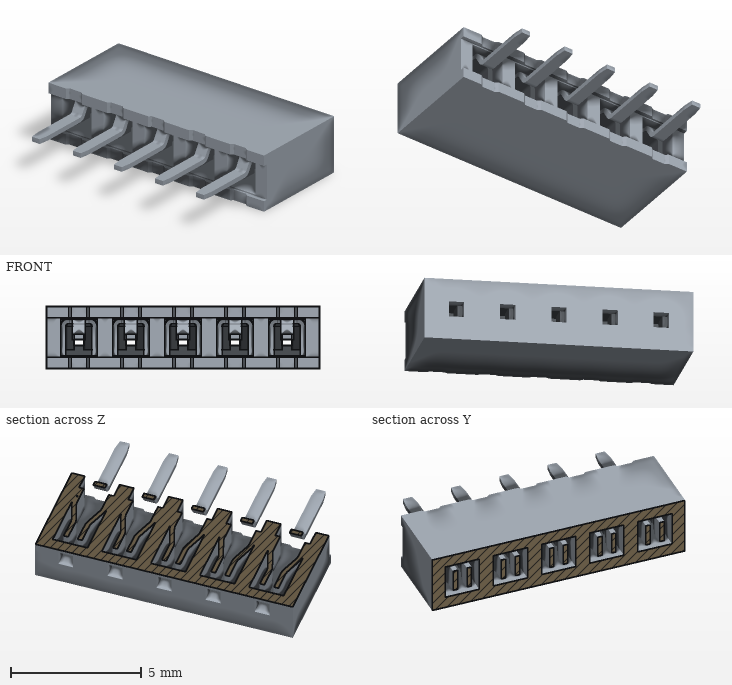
import cadquery as cq
import math


pin_count = 5
pitch = 2.0
housing_length = 10.5
housing_depth = 4.4
housing_height = 2.4
recess_depth = 0.18
recess_height = 1.5
back_wall = 0.5

notch_depth = 0.1
notch_mouth_width = 0.8
notch_floor_width = 0.58

cavity_size = 1.4
mating_hole_size = 0.6

metal = 0.2
contact_width = cavity_size
contact_top = 0.73
contact_bottom = -cavity_size / 2
bend_inner_radius = 0.1
bend_outer_radius = bend_inner_radius + metal
channel_front = 0.85
channel_length = 0.8
leaf_top = 0.435
leaf_bottom = -0.48
leaf_tip_gap = 0.37
leaf_end = 3.6
leaf_slope = math.radians(19)
leaf_root_bend_radius = 0.7
leaf_tip_bend_radius = 0.5

pin_width = 0.5
pin_top = 0.12
pin_reach = 2.4
tip_width = 0.38
tip_length = 0.43
tail_root_fillet = 0.12
tail_slope = math.radians(60)
upper_bend_radius = 0.4
lower_bend_radius = 0.14

pin_positions = [(i - (pin_count - 1) / 2) * pitch for i in range(pin_count)]
cavity_end = housing_depth - back_wall
channel_end = channel_front + channel_length


def box(x_range, y_range, z_range):
    """Box between the given limits on each axis."""
    size = [high - low for low, high in (x_range, y_range, z_range)]
    corner = (x_range[0], y_range[0], z_range[0])
    return cq.Workplane("XY").box(*size, centered=False).translate(corner)


def centred_box(width, y_range, height):
    """Box centred on the Y axis."""
    return box((-width / 2, width / 2), y_range, (-height / 2, height / 2))


def make_housing_blank():
    """Block with a shallow recess running along the whole pin side."""
    block = centred_box(housing_length, (0, housing_depth), housing_height)
    return block.cut(centred_box(housing_length, (0, recess_depth), recess_height))


def make_station_cut():
    """Material removed at each pin: rim notch, contact cavity and mating hole."""
    half_mouth = notch_mouth_width / 2
    half_floor = notch_floor_width / 2
    notch = (
        cq.Workplane("XY")
        .polyline(
            [(half_mouth, 0), (half_floor, notch_depth), (-half_floor, notch_depth), (-half_mouth, 0)]
        )
        .close()
        .extrude(housing_height / 2, both=True)
    )
    cavity = centred_box(cavity_size, (0, cavity_end), cavity_size)
    mating_hole = centred_box(mating_hole_size, (cavity_end, housing_depth), mating_hole_size)
    return notch.union(cavity).union(mating_hole)


def make_channel():
    """Channel open downward, with rounded bends along its two upper edges."""
    y_range = (channel_front, channel_end)
    half = contact_width / 2
    outer = box((-half, half), y_range, (contact_bottom, contact_top))
    outer = outer.edges("|Y and >Z").fillet(bend_outer_radius)
    inner_half = half - metal
    inner = box((-inner_half, inner_half), y_range, (contact_bottom, contact_top - metal))
    inner = inner.edges("|Y and >Z").fillet(bend_inner_radius)
    return outer.cut(inner)


def bent_strip(
    plane, place, start, bend_start, end, first_level, last_level, slope, first_radius, last_radius
):
    """Outline of a strip that steps down from one level to another through two bends.

    The strip runs along u, its upper face at height v: first_level, then last_level.
    first_radius and last_radius are the bend radii of that face, and place(u, v)
    gives the matching point on the plane.
    """
    sin_slope = math.sin(slope)
    cos_slope = math.cos(slope)
    sin_half = math.sin(slope / 2)
    cos_half = math.cos(slope / 2)
    radii = first_radius + last_radius
    drop = first_level - last_level
    slope_length = (drop - radii * (1 - cos_slope)) / sin_slope
    bend_end = bend_start + radii * sin_slope + slope_length * cos_slope
    first_lower_radius = first_radius - metal
    last_lower_radius = last_radius + metal

    def first(radius, sine, cosine):
        return place(bend_start + radius * sine, first_level - first_radius + radius * cosine)

    def last(radius, sine, cosine):
        return place(bend_end - radius * sine, last_level + last_radius - radius * cosine)

    return (
        cq.Workplane(plane)
        .moveTo(*place(start, first_level))
        .lineTo(*first(first_radius, 0, 1))
        .threePointArc(first(first_radius, sin_half, cos_half), first(first_radius, sin_slope, cos_slope))
        .lineTo(*last(last_radius, sin_slope, cos_slope))
        .threePointArc(last(last_radius, sin_half, cos_half), last(last_radius, 0, 1))
        .lineTo(*place(end, last_level))
        .lineTo(*place(end, last_level - metal))
        .lineTo(*last(last_lower_radius, 0, 1))
        .threePointArc(
            last(last_lower_radius, sin_half, cos_half),
            last(last_lower_radius, sin_slope, cos_slope),
        )
        .lineTo(*first(first_lower_radius, sin_slope, cos_slope))
        .threePointArc(first(first_lower_radius, sin_half, cos_half), first(first_lower_radius, 0, 1))
        .lineTo(*place(start, first_level - metal))
        .close()
    )


def make_leaves():
    """Two spring leaves that close in on each other toward the mating hole."""
    outline = bent_strip(
        "XY",
        lambda u, v: (v, u),
        start=channel_front,
        bend_start=channel_end,
        end=leaf_end,
        first_level=contact_width / 2,
        last_level=leaf_tip_gap / 2 + metal,
        slope=leaf_slope,
        first_radius=leaf_root_bend_radius,
        last_radius=leaf_tip_bend_radius,
    )
    right = outline.extrude(leaf_top - leaf_bottom).translate((0, 0, leaf_bottom))
    return right.union(right.mirror("YZ"))


def make_tail_plan():
    """Tail seen from above: tapered tip, straight pin and root flared by fillets."""
    half_pin = pin_width / 2
    half_tip = tip_width / 2
    half_root = half_pin + tail_root_fillet
    fillet_start = channel_front - tail_root_fillet
    arc_middle = tail_root_fillet * (1 - math.sqrt(0.5))
    taper_end = -pin_reach + tip_length
    return (
        cq.Workplane("XY")
        .workplane(offset=-housing_height / 2)
        .moveTo(half_tip, -pin_reach)
        .lineTo(half_pin, taper_end)
        .lineTo(half_pin, fillet_start)
        .threePointArc((half_pin + arc_middle, channel_front - arc_middle), (half_root, channel_front))
        .lineTo(half_root, channel_end)
        .lineTo(-half_root, channel_end)
        .lineTo(-half_root, channel_front)
        .threePointArc((-half_pin - arc_middle, channel_front - arc_middle), (-half_pin, fillet_start))
        .lineTo(-half_pin, taper_end)
        .lineTo(-half_tip, -pin_reach)
        .close()
        .extrude(housing_height)
    )


def make_tail():
    """Strip that leaves the channel roof, slopes down and runs out as the pin."""
    outline = bent_strip(
        "YZ",
        lambda u, v: (-u, v),
        start=-channel_end,
        bend_start=tail_root_fillet - channel_front,
        end=pin_reach,
        first_level=contact_top,
        last_level=pin_top,
        slope=tail_slope,
        first_radius=upper_bend_radius,
        last_radius=lower_bend_radius,
    )
    return outline.extrude(contact_width / 2, both=True).intersect(make_tail_plan())


station_cut = make_station_cut()
contact = make_channel().union(make_leaves()).union(make_tail())

result = make_housing_blank()
for x in pin_positions:
    result = result.cut(station_cut.translate((x, 0, 0)))
for x in pin_positions:
    result = result.union(contact.translate((x, 0, 0)))